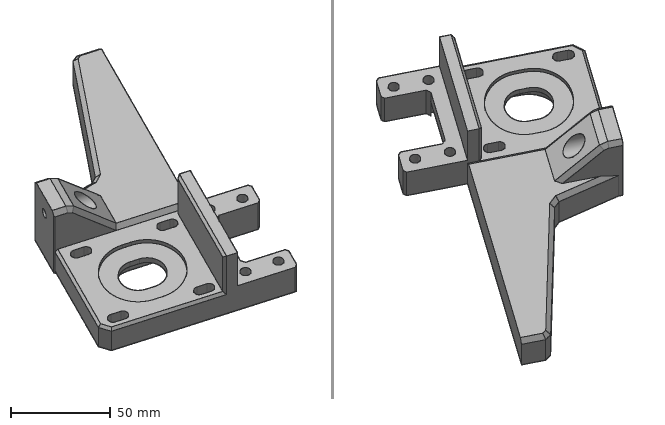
import math

import cadquery as cq


overall_length = 176.11
arm_height = 20.1
wall_rise = 25.0
top_height = arm_height + wall_rise

plate_width = 60.3
plate_depth = 74.0
plate_chamfer = 1.5
plate_corner_chamfer = 5.0
plate_step = 2.5
plate_height = arm_height - plate_step
plate_center_x = plate_width / 2

motor_y = -39.0
motor_travel = 5.0
motor_screw_pitch = 47.14
motor_slot_width = 5.5
motor_slot_travel = 5.5
pilot_diameter = 40.0
pilot_depth = 2.5
bore_diameter = 20.0

fork_length = 33.0
fork_tine_width = 13.0
fork_notch_depth = 25.0
fork_corner_chamfer = 1.5
fork_notch_chamfer = 2.0
fork_hole_diameter = 5.5
fork_hole_pitch_x = 46.0
fork_hole_pitch_y = 18.0
fork_hole_setback = 7.6

channel_width = plate_width - 2 * fork_tine_width
channel_height = 11.5

wall_thickness = 7.5
wall_chamfer = 1.5

arm_length = overall_length - plate_width
arm_tip_depth = 15.0
arm_taper = math.radians(15)
arm_chamfer = plate_step

bracket_width = 25.2
bracket_overhang = 0.5
bracket_front = plate_depth + bracket_overhang
bracket_top_depth = 10.0
bracket_chamfer = 2.5
bracket_front_chamfer = 0.5
bracket_hole_diameter = 5.0
bracket_counterbore_diameter = 11.0
bracket_hole_x = -bracket_width / 2
bracket_hole_drop = 12.5
bracket_hole_z = top_height - bracket_hole_drop
bracket_seat_thickness = 10.0

arm_setback = 2.5
arm_front = bracket_front - arm_setback


def box(x_min, x_max, y_min, y_max, z_max):
    """Block standing on the underside plane."""
    size_x = x_max - x_min
    size_y = y_max - y_min
    return cq.Workplane("XY").box(size_x, size_y, z_max, centered=False).translate((x_min, y_min, 0))


def stretched_hole(center_x, center_y, diameter, travel, bottom, height):
    """Upright round cutter, lengthened along Y by the travel."""
    return (
        cq.Workplane("XY", origin=(center_x, center_y, bottom))
        .slot2D(diameter + travel, diameter, 90)
        .extrude(height)
    )


def make_plate():
    plate = box(0, plate_width, -plate_depth, 0, plate_height)
    plate = plate.edges("|Z and >X and <Y").chamfer(plate_corner_chamfer)
    return plate.faces("<Z or >Z").edges("not (<X or >Y)").chamfer(plate_chamfer)


def make_wall():
    wall = box(0, plate_width, -wall_thickness, 0, top_height)
    return wall.faces("<Y").edges("not <Z").chamfer(wall_chamfer)


def make_fork():
    fork = box(0, plate_width, 0, fork_length, arm_height)
    notch_bottom = fork_length - fork_notch_depth
    notch = box(fork_tine_width, plate_width - fork_tine_width, notch_bottom, fork_length, arm_height)
    notch = notch.edges("|Z and <Y").chamfer(fork_notch_chamfer)
    fork = fork.cut(notch)
    fork = fork.edges("|Z and >Y").chamfer(fork_corner_chamfer)
    hole_center_y = fork_length - fork_hole_setback - fork_hole_pitch_y / 2
    holes = (
        cq.Workplane("XY", origin=(plate_center_x, hole_center_y, 0))
        .rarray(fork_hole_pitch_x, fork_hole_pitch_y, 2, 2)
        .circle(fork_hole_diameter / 2)
        .extrude(arm_height)
    )
    return fork.cut(holes)


def make_arm():
    slope = math.tan(arm_taper)
    elbow_run = (arm_length - bracket_width - slope * (arm_front - arm_tip_depth)) / (1 - slope**2)
    elbow_x = -arm_length + elbow_run
    elbow_y = -arm_tip_depth - slope * elbow_run
    outline = [
        (0, 0),
        (-arm_length, 0),
        (-arm_length, -arm_tip_depth),
        (elbow_x, elbow_y),
        (-bracket_width, -arm_front),
        (0, -arm_front),
    ]
    arm = cq.Workplane("XY").polyline(outline).close().extrude(arm_height)
    for corner_x, corner_y in (outline[2], outline[3]):
        corner = cq.selectors.NearestToPointSelector((corner_x, corner_y, arm_height / 2))
        arm = arm.edges(corner).chamfer(arm_chamfer)
    return arm.faces(">Z").edges("(not >Y) and (not <Y)").chamfer(arm_chamfer)


def make_bracket():
    slope_end = -bracket_front + bracket_top_depth + top_height
    profile = [
        (-bracket_front, 0),
        (slope_end, 0),
        (slope_end - top_height, top_height),
        (-bracket_front, top_height),
    ]
    bracket = cq.Workplane("YZ").polyline(profile).close().extrude(-bracket_width)
    slope_edges = bracket.faces(">(0, 1, 1)").edges("not <Z").vals()
    top_edges = bracket.faces(">Z").edges("|Y").vals()
    bracket = bracket.newObject(slope_edges + top_edges).chamfer(bracket_chamfer)
    bracket = bracket.faces("<Y").edges("|Z").chamfer(bracket_front_chamfer)
    foot = slope_end - arm_height
    return bracket.intersect(box(-bracket_width, 0, -bracket_front, foot, top_height))


def cut_bracket_hole(body):
    origin = (bracket_hole_x, -bracket_front, bracket_hole_z)
    front = cq.Workplane("XZ", origin=origin)
    bracket_depth = bracket_top_depth + top_height - arm_height
    hole = front.circle(bracket_hole_diameter / 2).extrude(-bracket_depth)
    seat = front.workplane(offset=-bracket_seat_thickness)
    counterbore_depth = bracket_depth - bracket_seat_thickness
    counterbore = seat.circle(bracket_counterbore_diameter / 2).extrude(-counterbore_depth)
    return body.cut(hole).cut(counterbore)


def cut_motor_mount(body):
    pilot_floor = plate_height - pilot_depth
    pilot = stretched_hole(plate_center_x, motor_y, pilot_diameter, motor_travel, pilot_floor, pilot_depth)
    bore = stretched_hole(plate_center_x, motor_y, bore_diameter, motor_travel, 0, plate_height)
    body = body.cut(pilot).cut(bore)
    for side_x in (-1, 1):
        for side_y in (-1, 1):
            slot_x = plate_center_x + side_x * motor_screw_pitch / 2
            slot_y = motor_y + side_y * motor_screw_pitch / 2
            slot = stretched_hole(slot_x, slot_y, motor_slot_width, motor_slot_travel, 0, plate_height)
            body = body.cut(slot)
    return body


def cut_belt_channel(body):
    left = plate_center_x - channel_width / 2
    right = plate_center_x + channel_width / 2
    straight = box(left, right, motor_y, fork_length - fork_notch_depth, channel_height)
    round_end = (
        cq.Workplane("XY", origin=(plate_center_x, motor_y, 0))
        .circle(channel_width / 2)
        .extrude(channel_height)
    )
    return body.cut(straight).cut(round_end)


def cut_right_bottom_chamfer(body):
    wedge = (
        cq.Workplane("XZ", origin=(plate_width, fork_length, 0))
        .polyline([(-plate_chamfer, 0), (0, 0), (0, plate_chamfer)])
        .close()
        .extrude(fork_length + wall_thickness)
    )
    return body.cut(wedge)


body = make_plate().union(make_wall()).union(make_fork()).union(make_arm()).union(make_bracket())
body = cut_bracket_hole(body)
body = cut_motor_mount(body)
body = cut_belt_channel(body)
result = cut_right_bottom_chamfer(body)